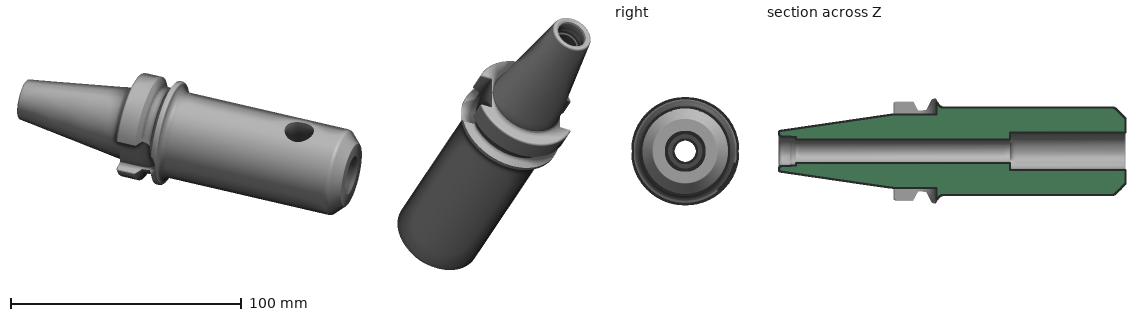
import cadquery as cq
import math

TOTAL_LENGTH = 150.4

TAPER_LENGTH = 48.4
TAPER_RATIO = 7 / 24
GAUGE_RADIUS = 31.75 / 2
SMALL_END_ROUND = 1.0

NECK_RADIUS = 31.87 / 2

NECK_CORNER_ROUND = 0.5
FLANGE_START = 49.8
FLANGE_RADIUS = 46.0 / 2
FRONT_LAND_END = 58.4
GROOVE_FLOOR_RADIUS = 19.25
GROOVE_FLOOR_WIDTH = 3.6
GROOVE_FLANK_ANGLE = math.radians(30)
FLANGE_END = 68.6
FLANGE_FRONT_ROUND = 1.0
RIM_ROUND = 1.0

BODY_RADIUS = 38.1 / 2
NOSE_CHAMFER = 5.0
NOSE_CHAMFER_ROUND = 2.0
NOSE_FACE_ROUND = 0.5

SLOT_WIDTH = 16.1
SLOT_FLOOR = 16.1
SLOT_END = 68.3
SLOT_EDGE_CHAMFER = 0.4

THROUGH_RADIUS = 10.11 / 2
PILOT_RADIUS = 12.5 / 2
PILOT_DEPTH = 5.0
PILOT_LIP_RADIUS = 13.1 / 2
MOUTH_RADIUS = 15.0 / 2
MOUTH_DEPTH = 0.5
PILOT_LIP_LENGTH = 0.9
RECESS_RADIUS = 12.0 / 2
RECESS_CONE_LENGTH = 1.0
RECESS_LENGTH = 1.3
BORE_RADIUS = 15.88 / 2
BORE_MOUTH_RADIUS = 16.88 / 2
BORE_DEPTH = 50.0

SCREW_RADIUS = 12.75 / 2
SCREW_FROM_NOSE = 23.9

MATCH_TOLERANCE = 0.01


def is_ring(edge, x, radius):
    """True for a full circle about the X axis with this X position and radius."""
    return (
        edge.geomType() == "CIRCLE"
        and abs(edge.Center().x - x) < MATCH_TOLERANCE
        and abs(edge.radius() - radius) < MATCH_TOLERANCE
    )


def round_ring(solid, x, radius, size):
    """Fillet the circular edge at one X position and radius."""
    rings = solid.edges().filter(lambda edge: is_ring(edge, x, radius))
    return rings.fillet(size)


def make_outside():
    """Taper, neck, grooved flange and body as one revolved solid."""
    small_end_radius = GAUGE_RADIUS - TAPER_LENGTH * TAPER_RATIO / 2
    taper_end = TAPER_LENGTH + 2 * (NECK_RADIUS - GAUGE_RADIUS) / TAPER_RATIO
    rim_flat_end = FLANGE_END - RIM_ROUND
    rim_inner_radius = FLANGE_RADIUS - RIM_ROUND
    corner_round = rim_inner_radius - BODY_RADIUS
    corner_end = FLANGE_END + corner_round
    flank_run = (FLANGE_RADIUS - GROOVE_FLOOR_RADIUS) * math.tan(GROOVE_FLANK_ANGLE)
    floor_start = FRONT_LAND_END + flank_run
    floor_end = floor_start + GROOVE_FLOOR_WIDTH
    rim_start = floor_end + flank_run
    chamfer_start = TOTAL_LENGTH - NOSE_CHAMFER
    nose_radius = BODY_RADIUS - NOSE_CHAMFER

    solid = (
        cq.Workplane("XY")
        .moveTo(0, 0)
        .lineTo(0, small_end_radius)
        .lineTo(taper_end, NECK_RADIUS)
        .lineTo(FLANGE_START, NECK_RADIUS)
        .lineTo(FLANGE_START, FLANGE_RADIUS)
        .lineTo(FRONT_LAND_END, FLANGE_RADIUS)
        .lineTo(floor_start, GROOVE_FLOOR_RADIUS)
        .lineTo(floor_end, GROOVE_FLOOR_RADIUS)
        .lineTo(rim_start, FLANGE_RADIUS)
        .lineTo(rim_flat_end, FLANGE_RADIUS)
        .radiusArc((FLANGE_END, rim_inner_radius), RIM_ROUND)
        .radiusArc((corner_end, BODY_RADIUS), -corner_round)
        .lineTo(chamfer_start, BODY_RADIUS)
        .lineTo(TOTAL_LENGTH, nose_radius)
        .lineTo(TOTAL_LENGTH, 0)
        .close()
        .revolve(360, (0, 0, 0), (1, 0, 0))
    )
    rounds = [
        (0, small_end_radius, SMALL_END_ROUND),
        (FLANGE_START, NECK_RADIUS, NECK_CORNER_ROUND),
        (FLANGE_START, FLANGE_RADIUS, FLANGE_FRONT_ROUND),
        (chamfer_start, BODY_RADIUS, NOSE_CHAMFER_ROUND),
        (TOTAL_LENGTH, nose_radius, NOSE_FACE_ROUND),
    ]
    for x, radius, size in rounds:
        solid = round_ring(solid, x, radius, size)
    return solid


def make_axial_holes():
    """Drawbar pilot, through hole and tool bore as one revolved cutter."""
    lip_end = MOUTH_DEPTH + PILOT_LIP_LENGTH
    recess_start = PILOT_DEPTH + RECESS_CONE_LENGTH
    recess_end = recess_start + RECESS_LENGTH
    bore_mouth = BORE_MOUTH_RADIUS - BORE_RADIUS
    bore_end = TOTAL_LENGTH - BORE_DEPTH
    return (
        cq.Workplane("XY")
        .moveTo(0, 0)
        .lineTo(0, MOUTH_RADIUS)
        .lineTo(MOUTH_DEPTH, PILOT_LIP_RADIUS)
        .lineTo(lip_end, PILOT_RADIUS)
        .lineTo(PILOT_DEPTH, PILOT_RADIUS)
        .lineTo(recess_start, RECESS_RADIUS)
        .lineTo(recess_end, RECESS_RADIUS)
        .lineTo(recess_end, THROUGH_RADIUS)
        .lineTo(bore_end, THROUGH_RADIUS)
        .lineTo(bore_end, BORE_RADIUS)
        .lineTo(TOTAL_LENGTH - bore_mouth, BORE_RADIUS)
        .lineTo(TOTAL_LENGTH, BORE_MOUTH_RADIUS)
        .lineTo(TOTAL_LENGTH, 0)
        .close()
        .revolve(360, (0, 0, 0), (1, 0, 0))
    )


def make_drive_slot(side):
    """Round-ended slot cutter outside the slot floor; side is +1 for +Y, -1 for -Y."""
    half_width = SLOT_WIDTH / 2
    arc_start = SLOT_END - half_width
    return (
        cq.Workplane("XZ", origin=(0, side * SLOT_FLOOR, 0))
        .moveTo(TAPER_LENGTH, -half_width)
        .lineTo(arc_start, -half_width)
        .threePointArc((SLOT_END, 0), (arc_start, half_width))
        .lineTo(TAPER_LENGTH, half_width)
        .close()
        .extrude(-side * FLANGE_RADIUS)
    )


def make_screw_hole():
    """Radial hole from the axis out through the top of the body."""
    return (
        cq.Workplane("XY", origin=(TOTAL_LENGTH - SCREW_FROM_NOSE, 0, 0))
        .circle(SCREW_RADIUS)
        .extrude(FLANGE_RADIUS)
    )


def is_slot_front_edge(edge):
    """True for the slot wall edges on the flange front face and front land."""
    centre = edge.Center()
    on_wall = abs(abs(centre.z) - SLOT_WIDTH / 2) < MATCH_TOLERANCE
    in_front = FLANGE_START - MATCH_TOLERANCE < centre.x < FRONT_LAND_END
    above_floor = abs(centre.y) > SLOT_FLOOR + MATCH_TOLERANCE
    return on_wall and in_front and above_floor


result = make_outside().cut(make_axial_holes())
for slot_side in (1, -1):
    result = result.cut(make_drive_slot(slot_side))
result = result.edges().filter(is_slot_front_edge).chamfer(SLOT_EDGE_CHAMFER)
result = result.cut(make_screw_hole())